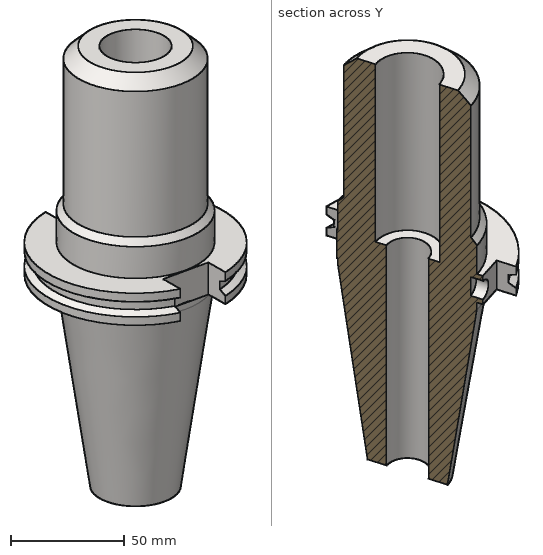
import cadquery as cq

total_height = 218.5
flange_bottom = 105.0
flange_thickness = 16.0
flange_top = flange_bottom + flange_thickness
gauge_band = 3.3
taper_top = flange_bottom - gauge_band
collar_top = 136.7
collar_cone_height = 3.3

gauge_radius = 35.0
taper_slope = 7 / 48
taper_end_radius = gauge_radius - taper_top * taper_slope
shank_radius = 32.0
nose_radius = 25.3
nose_chamfer_height = 6.1
flange_radius = 49.1

groove_floor_radius = 45.5
groove_bottom = flange_bottom + 4.2
groove_flank_height = 1.7
groove_floor_width = 4.0
groove_floor_bottom = groove_bottom + groove_flank_height
groove_floor_top = groove_floor_bottom + groove_floor_width
groove_top = groove_floor_top + groove_flank_height

slot_width = 25.5
left_slot_floor = 37.8
right_slot_floor = 35.4

bore_radius = 16.0
bore_depth = total_height - flange_top
through_radius = 10.5
slot_hole_radius = 5.0
slot_hole_depth = 6.1


def turned_body():
    """Revolve the taper, flange, collar and shank about Z."""
    profile = [
        (0, 0),
        (taper_end_radius, 0),
        (gauge_radius, taper_top),
        (gauge_radius, flange_bottom),
        (flange_radius, flange_bottom),
        (flange_radius, groove_bottom),
        (groove_floor_radius, groove_floor_bottom),
        (groove_floor_radius, groove_floor_top),
        (flange_radius, groove_top),
        (flange_radius, flange_top),
        (gauge_radius, flange_top),
        (gauge_radius, collar_top),
        (shank_radius, collar_top + collar_cone_height),
        (shank_radius, total_height - nose_chamfer_height),
        (nose_radius, total_height),
        (0, total_height),
    ]
    return cq.Workplane("XZ").polyline(profile).close().revolve(360, (0, 0), (0, 1))


def drive_slot(side, floor):
    """Cutter for a slot across the flange; side is -1 for -X and +1 for +X."""
    length = flange_radius
    slot = cq.Workplane("XY").box(length, slot_width, flange_thickness)
    return slot.translate((side * (floor + length / 2), 0, flange_bottom + flange_thickness / 2))


def axial_bore():
    """Stepped bore: tool socket from the top, smaller hole right through."""
    through = cq.Workplane("XY").circle(through_radius).extrude(total_height)
    socket = cq.Workplane("XY", origin=(0, 0, total_height)).circle(bore_radius).extrude(-bore_depth)
    return through.union(socket)


def slot_hole():
    """Blind radial hole at mid height of the left slot floor."""
    center = (-left_slot_floor, 0, flange_bottom + flange_thickness / 2)
    return cq.Workplane("YZ", origin=center).circle(slot_hole_radius).extrude(slot_hole_depth)


result = turned_body().cut(axial_bore())
result = result.cut(drive_slot(-1, left_slot_floor))
result = result.cut(drive_slot(1, right_slot_floor))
result = result.cut(slot_hole())